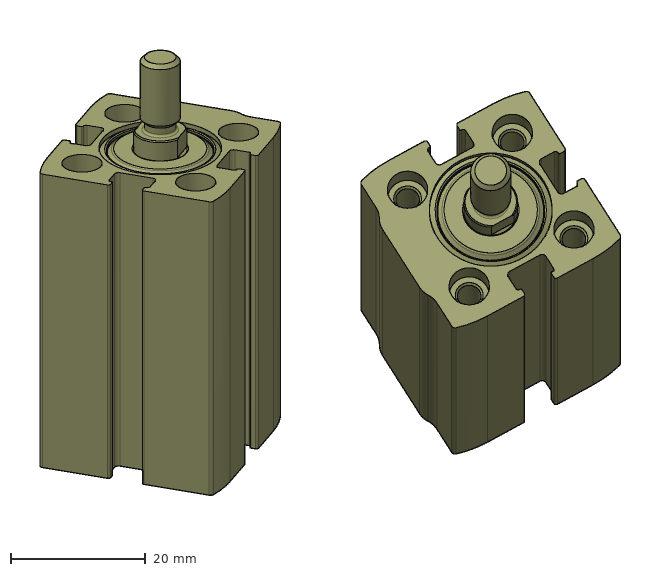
import cadquery as cq
import math

WIDTH = 29.0
LENGTH = 30.0
HALF_WIDTH = WIDTH / 2
BUMP_TOP_Y = LENGTH - HALF_WIDTH
TOTAL_HEIGHT = 63.5
ROD_REACH = 15.0
HOUSING_HEIGHT = TOTAL_HEIGHT - ROD_REACH

SIDE_FLAT_HALF = 9.1
SIDE_CURVE_RADIUS = 17.45
CORNER_RADIUS = 0.6

BUMP_FLAT_HALF = 5.4
BUMP_FOOT_HALF = 8.9

SLOT_MOUTH_HALF = 2.55
SLOT_HALF_WIDTH = 3.25
SLOT_DEPTH = 4.5
SLOT_LIP = 1.3
SLOT_FLOOR_RADIUS = 0.65
SLOT_SHOULDER_RADIUS = 0.4
SLOT_LIP_OUTER_RADIUS = 0.4
SLOT_LIP_INNER_RADIUS = 0.2

HOLE_OFFSET = 9.0
COUNTERBORE_DIAMETER = 6.0
COUNTERBORE_DEPTH = 3.5
TAPPED_MOUTH_DIAMETER = 4.1
TAPPED_DIAMETER = 3.5
TAPPED_DEPTH = 9.5
BOLT_HOLE_DIAMETER = 3.25

RECESS_RADIUS = 18.2 / 2
RECESS_DEPTH = 0.75
RING_CREST_RADIUS = 8.25
RING_CREST_DEPTH = 0.25
RING_LIP_DROP = 0.1
BORE_RADIUS = 16.0 / 2
GROOVE_INNER_RADIUS = 7.9
GROOVE_DEPTH = 0.75
PLATE_EDGE_RADIUS = 7.25
PLATE_RADIUS = 6.9
PLATE_RIM_DROP = 0.1
PLATE_DEPTH = 0.1

ROD_DIAMETER = 8.0
SOCKET_DEPTH = ROD_DIAMETER
SOCKET_BEVEL = 0.2
COLLAR_HEIGHT = 3.0
COLLAR_CHAMFER = 0.2
FLAT_WIDTH = 7.0
FLAT_RAMP_DROP = 0.25
THREAD_END_DIAMETER = 6.0
NECK_DIAMETER = 4.7
NECK_FILLET = 0.4
NECK_TOP = 4.4

ROD_CONE = (THREAD_END_DIAMETER - NECK_DIAMETER) / 2


def housing_outline():
    """Solid block with arched X sides and a raised +Y side."""
    arc_angle = math.asin((HALF_WIDTH - SIDE_FLAT_HALF) / SIDE_CURVE_RADIUS)
    corner_x = HALF_WIDTH - SIDE_CURVE_RADIUS * (1 - math.cos(arc_angle))
    mid_x = HALF_WIDTH - SIDE_CURVE_RADIUS * (1 - math.cos(arc_angle / 2))
    mid_y = SIDE_FLAT_HALF + SIDE_CURVE_RADIUS * math.sin(arc_angle / 2)
    step_x = (BUMP_FLAT_HALF + BUMP_FOOT_HALF) / 2
    step_y = (HALF_WIDTH + BUMP_TOP_Y) / 2
    block = (
        cq.Workplane("XY")
        .moveTo(-corner_x, -HALF_WIDTH)
        .lineTo(corner_x, -HALF_WIDTH)
        .threePointArc((mid_x, -mid_y), (HALF_WIDTH, -SIDE_FLAT_HALF))
        .lineTo(HALF_WIDTH, SIDE_FLAT_HALF)
        .threePointArc((mid_x, mid_y), (corner_x, HALF_WIDTH))
        .lineTo(BUMP_FOOT_HALF, HALF_WIDTH)
        .tangentArcPoint((step_x, step_y), relative=False)
        .tangentArcPoint((BUMP_FLAT_HALF, BUMP_TOP_Y), relative=False)
        .lineTo(-BUMP_FLAT_HALF, BUMP_TOP_Y)
        .tangentArcPoint((-step_x, step_y), relative=False)
        .tangentArcPoint((-BUMP_FOOT_HALF, HALF_WIDTH), relative=False)
        .lineTo(-corner_x, HALF_WIDTH)
        .threePointArc((-mid_x, mid_y), (-HALF_WIDTH, SIDE_FLAT_HALF))
        .lineTo(-HALF_WIDTH, -SIDE_FLAT_HALF)
        .threePointArc((-mid_x, -mid_y), (-corner_x, -HALF_WIDTH))
        .close()
        .extrude(HOUSING_HEIGHT)
    )
    for sx in (-1, 1):
        for sy in (-1, 1):
            block = round_edge(block, sx * corner_x, sy * HALF_WIDTH, CORNER_RADIUS)
    return block


def slot_cutter():
    """T-shaped slot opening on the -Y side."""
    floor_y = SLOT_DEPTH - HALF_WIDTH
    lip_y = SLOT_LIP - HALF_WIDTH
    wide = (
        cq.Workplane("XY")
        .rect(2 * SLOT_HALF_WIDTH, floor_y - lip_y)
        .extrude(HOUSING_HEIGHT)
        .translate((0, (floor_y + lip_y) / 2, 0))
        .edges("|Z and >Y")
        .fillet(SLOT_FLOOR_RADIUS)
        .edges("|Z and <Y")
        .fillet(SLOT_SHOULDER_RADIUS)
    )
    mouth = (
        cq.Workplane("XY")
        .rect(2 * SLOT_MOUTH_HALF, 4 * SLOT_LIP)
        .extrude(HOUSING_HEIGHT)
        .translate((0, -HALF_WIDTH, 0))
    )
    return wide.union(mouth)


def round_edge(block, x, y, radius):
    """Fillet the full-height edge that stands at (x, y)."""
    near = 0.03
    box = cq.selectors.BoxSelector((x - near, y - near, 0), (x + near, y + near, HOUSING_HEIGHT))
    return block.edges("|Z").edges(box).fillet(radius)


def revolved(points):
    """Turn a profile of (radius, height) points about the rod axis."""
    return cq.Workplane("XZ").polyline(points).close().revolve(360, (0, 0, 0), (0, 1, 0))


def mounting_hole_cutter():
    """Counterbore at the top, wider length with a conical mouth, then a through hole."""
    seat = HOUSING_HEIGHT - COUNTERBORE_DEPTH
    tapped_r = TAPPED_DIAMETER / 2
    mouth_r = TAPPED_MOUTH_DIAMETER / 2
    bolt_r = BOLT_HOLE_DIAMETER / 2
    bore_r = COUNTERBORE_DIAMETER / 2
    return revolved([
        (0, 0),
        (bolt_r, 0),
        (bolt_r, seat - TAPPED_DEPTH),
        (tapped_r, seat - TAPPED_DEPTH),
        (tapped_r, seat - (mouth_r - tapped_r)),
        (mouth_r, seat),
        (bore_r, seat),
        (bore_r, HOUSING_HEIGHT),
        (0, HOUSING_HEIGHT),
    ])


def head_cutter():
    """Ring grooves around the slightly sunken head plate."""
    top = HOUSING_HEIGHT
    return revolved([
        (0, top),
        (0, top - PLATE_DEPTH),
        (PLATE_RADIUS, top - PLATE_DEPTH),
        (PLATE_EDGE_RADIUS, top - PLATE_DEPTH - PLATE_RIM_DROP),
        (GROOVE_INNER_RADIUS, top - GROOVE_DEPTH),
        (BORE_RADIUS, top - GROOVE_DEPTH),
        (BORE_RADIUS, top - RING_CREST_DEPTH - RING_LIP_DROP),
        (RING_CREST_RADIUS, top - RING_CREST_DEPTH),
        (RECESS_RADIUS, top - RECESS_DEPTH),
        (RECESS_RADIUS, top),
    ])


def cut_slot(block, angle):
    """Cut the slot of the side at this angle from -Y and round the edges of its lips."""
    block = block.cut(slot_cutter().rotate((0, 0, 0), (0, 0, 1), angle))
    lip_edges = (
        (HALF_WIDTH, SLOT_LIP_OUTER_RADIUS),
        (HALF_WIDTH - SLOT_LIP, SLOT_LIP_INNER_RADIUS),
    )
    turn = math.radians(angle)
    for side in (-1, 1):
        for distance, radius in lip_edges:
            across = side * SLOT_MOUTH_HALF
            x = across * math.cos(turn) + distance * math.sin(turn)
            y = across * math.sin(turn) - distance * math.cos(turn)
            block = round_edge(block, x, y, radius)
    return block


def socket_cutter():
    """Blind bore that holds the rod, with a bevelled mouth in the head plate."""
    face = HOUSING_HEIGHT - PLATE_DEPTH
    bottom = HOUSING_HEIGHT - SOCKET_DEPTH
    rod_r = ROD_DIAMETER / 2
    return revolved([
        (0, bottom),
        (rod_r, bottom),
        (rod_r, face - SOCKET_BEVEL),
        (rod_r + SOCKET_BEVEL, face),
        (0, face),
    ])


def make_housing():
    """Housing with slots, mounting holes, head grooves and the rod socket."""
    body = housing_outline()
    for angle in (0, 90, -90):
        body = cut_slot(body, angle)
    for sx in (-1, 1):
        for sy in (-1, 1):
            hole = mounting_hole_cutter().translate((sx * HOLE_OFFSET, sy * HOLE_OFFSET, 0))
            body = body.cut(hole)
    body = body.cut(head_cutter())
    return body.cut(socket_cutter())


def flat_cutter(side):
    """Wrench flat on the -X or +X side, running out in a ramp below the head plate face."""
    flat_x = side * FLAT_WIDTH / 2
    rim_x = side * ROD_DIAMETER / 2
    flat_end = HOUSING_HEIGHT - PLATE_DEPTH
    flat_top = HOUSING_HEIGHT + COLLAR_HEIGHT
    return (
        cq.Workplane("XZ")
        .moveTo(flat_x, flat_top)
        .lineTo(flat_x, flat_end)
        .lineTo(rim_x, flat_end - FLAT_RAMP_DROP)
        .lineTo(rim_x, flat_top)
        .close()
        .extrude(ROD_DIAMETER / 2, both=True)
    )


def make_rod():
    """Stepped rod with wrench flats, an undercut neck and a plain threaded end."""
    base = HOUSING_HEIGHT
    rod_r = ROD_DIAMETER / 2
    neck_r = NECK_DIAMETER / 2
    thread_r = THREAD_END_DIAMETER / 2
    collar_top = base + COLLAR_HEIGHT
    fillet_inset = NECK_FILLET * (1 - math.sqrt(0.5))
    fillet_middle = (neck_r + fillet_inset, collar_top + fillet_inset)
    profile = (
        cq.Workplane("XZ")
        .moveTo(0, base - SOCKET_DEPTH)
        .lineTo(rod_r, base - SOCKET_DEPTH)
        .lineTo(rod_r, collar_top - COLLAR_CHAMFER)
        .lineTo(rod_r - COLLAR_CHAMFER, collar_top)
        .lineTo(neck_r + NECK_FILLET, collar_top)
        .threePointArc(fillet_middle, (neck_r, collar_top + NECK_FILLET))
        .lineTo(neck_r, base + NECK_TOP)
        .lineTo(thread_r, base + NECK_TOP + ROD_CONE)
        .lineTo(thread_r, TOTAL_HEIGHT - ROD_CONE)
        .lineTo(thread_r - ROD_CONE, TOTAL_HEIGHT)
        .lineTo(0, TOTAL_HEIGHT)
        .close()
    )
    rod = profile.revolve(360, (0, 0, 0), (0, 1, 0))
    return rod.cut(flat_cutter(-1)).cut(flat_cutter(1))


housing = make_housing()
rod = make_rod()
result = cq.Compound.makeCompound([housing.val(), rod.val()])